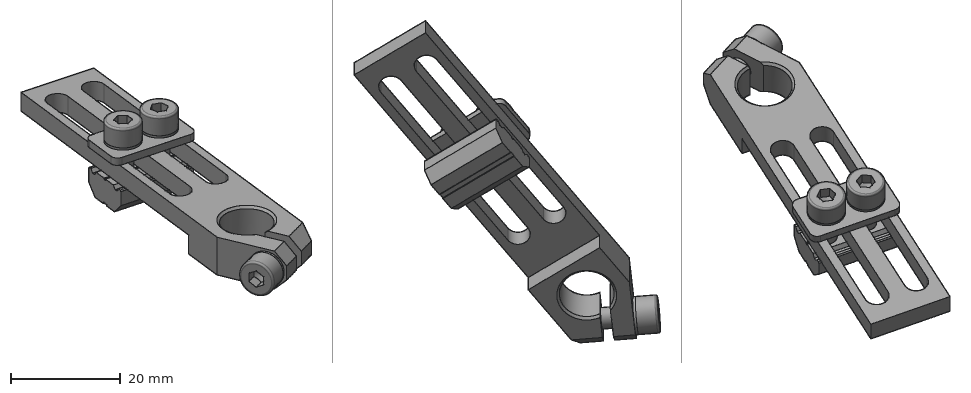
import cadquery as cq
import math


arm_width = 16.0
arm_thickness = 4.0
block_start_x = 54.8
block_thickness = 2 * arm_thickness
slot_width = 4.5
slot_spacing = 8.0
slot_start_x = 3.75
slot_end_x = 48.2

bore_x = 62.0
bore_diameter = 10.0
bore_chamfer = 0.5
clamp_angle = 30.0
ear_reach = 12.0
ear_chamfer = 2.5
slit_width = 2.0
slit_offset = 3.0
clamp_screw_reach = arm_width / 2

shank_diameter = 4.0
clearance_diameter = 4.3
head_diameter = 7.0
head_height = 4.0
head_fillet = 0.4
socket_flats = 3.0
socket_depth = 2.0
socket_tip_angle = 120.0
washer_thickness = 0.5
slot_screw_length = 12.0
clamp_screw_length = 10.0
socket_turns = (0.0, 15.0)

plate_length = 10.0
plate_width = 18.0
plate_thickness = 1.6
plate_corner_radius = 1.5
fastening_x = 27.4

nut_gap = 1.2
nut_height = 5.5
nut_width = 10.5
nut_floor_width = 6.4
nut_side_height = 3.2
nut_corner_chamfer = 0.2
groove_offset = 3.7
groove_width = 1.7
groove_floor_width = 0.55
groove_depth = 0.7
top_notch_width = 0.5
bottom_notch_width = 1.0
notch_depth = 0.2

half_width = arm_width / 2
slot_ys = (-slot_spacing / 2, slot_spacing / 2)
slot_screw_seat_z = plate_thickness + washer_thickness
slot_screw_tip_z = slot_screw_seat_z - slot_screw_length
nut_top_z = -arm_thickness - nut_gap
angle = math.radians(clamp_angle)
slit_direction = cq.Vector(math.cos(angle), math.sin(angle), 0)
across_direction = cq.Vector(-math.sin(angle), math.cos(angle), 0)
bore_centre = cq.Vector(bore_x, 0, 0)


def clamp_point(along, across, z=0):
    """A point given from the bore's centre, along and across the slit."""
    return bore_centre + slit_direction * along + across_direction * across + cq.Vector(0, 0, z)


def clamp_screw_plane(across):
    """A plane square to the clamp screw, facing its head."""
    origin = clamp_point(clamp_screw_reach, across, -block_thickness / 2)
    return cq.Plane(origin=origin, xDir=(0, 0, 1), normal=across_direction * -1)


ear_plane = clamp_screw_plane(-half_width)
clamp_seat_plane = clamp_screw_plane(-half_width - washer_thickness)


def make_arm():
    """A slotted flat arm that thickens into a split clamp."""
    ear_corner = clamp_point(ear_reach, -half_width)
    lower_bend_x = bore_x + half_width * math.tan(angle / 2)
    upper_corner_x = bore_x + (ear_reach - half_width * math.sin(angle)) / math.cos(angle)
    arm = (
        cq.Workplane("XY")
        .moveTo(0, -half_width)
        .lineTo(lower_bend_x, -half_width)
        .lineTo(ear_corner.x, ear_corner.y)
        .lineTo(upper_corner_x, half_width)
        .lineTo(0, half_width)
        .close()
        .extrude(-block_thickness)
    )
    ear_face = arm.faces(cq.selectors.DirectionMinMaxSelector(slit_direction, True))
    arm = ear_face.edges("#Z").chamfer(ear_chamfer)
    relief_height = block_thickness - arm_thickness
    relief = cq.Workplane("XY", origin=(0, 0, -block_thickness)).box(
        block_start_x, arm_width, relief_height, centered=(False, True, False)
    )
    arm = arm.cut(relief)
    arm = arm.cut(make_slots())
    arm = arm.cut(make_bore())
    arm = arm.cut(make_slit())
    return arm.cut(make_clamp_holes())


def make_slots():
    """The two long slots, as a shape to cut away."""
    return (
        cq.Workplane("XY")
        .pushPoints([((slot_start_x + slot_end_x) / 2, y) for y in slot_ys])
        .slot2D(slot_end_x - slot_start_x, slot_width)
        .extrude(-arm_thickness)
    )


def make_bore():
    """The clamp bore with both mouths chamfered, as a shape to cut away."""
    bore = cq.Workplane("XY").center(bore_x, 0).circle(bore_diameter / 2).extrude(-block_thickness)
    mouth_radius = bore_diameter / 2 + bore_chamfer
    down = cq.Vector(0, 0, -1)
    top_mouth = cq.Solid.makeCone(mouth_radius, bore_diameter / 2, bore_chamfer, bore_centre, down)
    bottom_centre = bore_centre - cq.Vector(0, 0, block_thickness)
    bottom_mouth = cq.Solid.makeCone(mouth_radius, bore_diameter / 2, bore_chamfer, bottom_centre)
    return bore.union(cq.Workplane(top_mouth)).union(cq.Workplane(bottom_mouth))


def make_slit():
    """The slit from the bore out between the two ears, as a shape to cut away."""
    slit_start = clamp_point(0, -slit_offset, -block_thickness)
    slit_plane = cq.Plane(origin=slit_start, xDir=slit_direction, normal=(0, 0, 1))
    return cq.Workplane(slit_plane).box(
        ear_reach, slit_width, block_thickness, centered=(False, True, False)
    )


def make_clamp_holes():
    """A clearance hole in the -Y ear and a tapped hole in the +Y one, as a shape to cut away."""
    tapped_depth = clamp_screw_length - washer_thickness
    tapped = cq.Workplane(ear_plane).circle(shank_diameter / 2).extrude(-tapped_depth)
    slit_middle_depth = half_width - slit_offset
    clearance = cq.Workplane(ear_plane).circle(clearance_diameter / 2).extrude(-slit_middle_depth)
    return tapped.union(clearance)


def make_plate():
    """The rounded cover plate under the slot screws."""
    return (
        cq.Workplane("XY")
        .center(fastening_x, 0)
        .rect(plate_length, plate_width)
        .extrude(plate_thickness)
        .edges("|Z")
        .fillet(plate_corner_radius)
        .faces(">Z")
        .workplane(origin=(fastening_x, 0, 0))
        .pushPoints([(0, y) for y in slot_ys])
        .hole(clearance_diameter)
    )


def make_slot_nut():
    """The nut bar that both slot screws pull up."""
    half_nut = nut_width / 2
    half_floor = nut_floor_width / 2
    nut = (
        cq.Workplane("XZ")
        .polyline([
            (-half_nut, -nut_corner_chamfer),
            (-half_nut + nut_corner_chamfer, 0),
            (half_nut - nut_corner_chamfer, 0),
            (half_nut, -nut_corner_chamfer),
            (half_nut, -nut_side_height),
            (half_floor, -nut_height),
            (-half_floor, -nut_height),
            (-half_nut, -nut_side_height),
        ])
        .close()
        .extrude(half_width, both=True)
    )
    for middle in (-groove_offset, groove_offset):
        groove = (
            cq.Workplane("XZ")
            .polyline([
                (middle - groove_width / 2, 0),
                (middle + groove_width / 2, 0),
                (middle + groove_floor_width / 2, -groove_depth),
                (middle - groove_floor_width / 2, -groove_depth),
            ])
            .close()
            .extrude(half_width, both=True)
        )
        nut = nut.cut(groove)
    top_notch = cq.Workplane("XY").box(top_notch_width, arm_width, 2 * notch_depth)
    bottom_notch = cq.Workplane("XY").box(bottom_notch_width, arm_width, 2 * notch_depth)
    nut = nut.cut(top_notch).cut(bottom_notch.translate((0, 0, -nut_height)))
    tapped_holes = (
        cq.Workplane("XY")
        .pushPoints([(0, y) for y in slot_ys])
        .circle(shank_diameter / 2)
        .extrude(slot_screw_tip_z - nut_top_z)
    )
    return nut.cut(tapped_holes).translate((fastening_x, 0, nut_top_z))


def make_screw(seat_plane, length):
    """A socket head screw whose head rests on the seat plane."""
    head = cq.Workplane("XY").circle(head_diameter / 2).extrude(head_height)
    head = head.faces(">Z").edges().fillet(head_fillet)
    shank = cq.Workplane("XY").circle(shank_diameter / 2).extrude(-length)
    screw = head.union(shank).cut(make_socket())
    return screw.val().located(cq.Location(seat_plane))


def make_socket():
    """A hexagonal socket with a conical floor."""
    corner_radius = socket_flats / math.sqrt(3)
    tip_depth = corner_radius / math.tan(math.radians(socket_tip_angle / 2))
    floor_z = head_height - socket_depth
    hexagon = (
        cq.Workplane("XY", origin=(0, 0, floor_z - tip_depth))
        .polygon(6, 2 * corner_radius)
        .extrude(socket_depth + tip_depth)
    )
    pointed = (
        cq.Workplane("XZ")
        .polyline([
            (0, floor_z - tip_depth),
            (corner_radius, floor_z),
            (corner_radius, head_height),
            (0, head_height),
        ])
        .close()
        .revolve(360, (0, 0, 0), (0, 1, 0))
    )
    return hexagon.intersect(pointed)


def make_washer(base_plane):
    """A plain washer lying on the base plane."""
    return (
        cq.Workplane(base_plane)
        .circle(head_diameter / 2)
        .circle(clearance_diameter / 2)
        .extrude(washer_thickness)
        .val()
    )


arm = make_arm()
plate = make_plate()
slot_nut = make_slot_nut()

screws = [make_screw(clamp_seat_plane, clamp_screw_length)]
washers = [make_washer(ear_plane)]
for y, turn in zip(slot_ys, socket_turns):
    turned_x = (math.cos(math.radians(turn)), math.sin(math.radians(turn)), 0)
    screws.append(make_screw(cq.Plane((fastening_x, y, slot_screw_seat_z), turned_x), slot_screw_length))
    washers.append(make_washer(cq.Plane((fastening_x, y, plate_thickness))))

result = cq.Compound.makeCompound([arm.val(), plate.val(), slot_nut.val(), *screws, *washers])